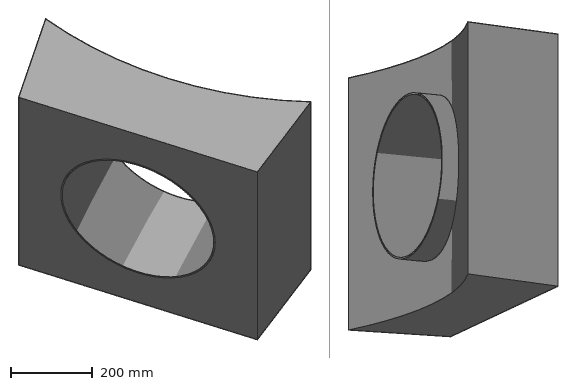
import cadquery as cq
import math

block_height = 630.0
front_width = 630.0
rear_width = 700.0
saddle_radius = 1000.0
middle_depth = 195.0

sleeve_inner_diameter = 400.0
sleeve_wall = 4.0
sleeve_length = 260.0
sleeve_outer_diameter = sleeve_inner_diameter + 2 * sleeve_wall

half_front = front_width / 2
half_rear = rear_width / 2
saddle_rise = saddle_radius - math.sqrt(saddle_radius**2 - half_rear**2)
edge_depth = middle_depth + saddle_rise


def cylinder_along_y(diameter, length):
    """Cylinder from the flat face toward +Y."""
    return cq.Workplane("XZ").circle(diameter / 2).extrude(-length)


def make_saddle_block():
    """Tapered block with a concave rear face and a bore for the sleeve."""
    block = (
        cq.Workplane("XY")
        .moveTo(-half_front, 0)
        .lineTo(half_front, 0)
        .lineTo(half_rear, edge_depth)
        .threePointArc((0, middle_depth), (-half_rear, edge_depth))
        .close()
        .extrude(block_height / 2, both=True)
    )
    return block.cut(cylinder_along_y(sleeve_outer_diameter, sleeve_length))


def make_sleeve():
    """Thin tube, flush with the flat face and standing out of the saddle."""
    outside = cylinder_along_y(sleeve_outer_diameter, sleeve_length)
    return outside.cut(cylinder_along_y(sleeve_inner_diameter, sleeve_length))


saddle_block = make_saddle_block()
sleeve = make_sleeve()

result = cq.Compound.makeCompound([saddle_block.val(), sleeve.val()])